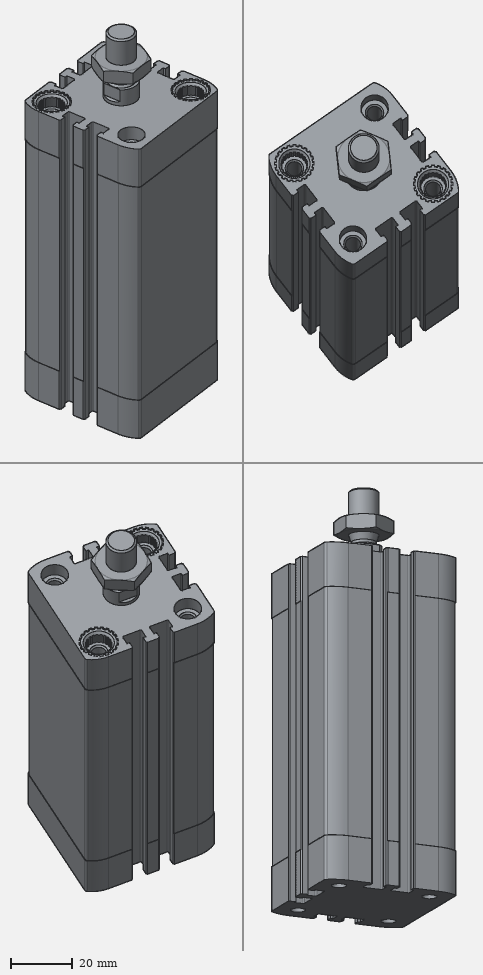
import cadquery as cq
import math

total_height = 139.6
housing_width = 47.0
housing_height = 114.3
half_width = housing_width / 2

cap_height = 15.1
barrel_inset = 0.1
cap_flat_half = 21.2
barrel_flat_half = 21.1
hole_offset = 16.2
cap_fillet = 1.1
barrel_fillet = 1.4

slot_offset = 4.9
slot_opening = 4.9
slot_inner_width = 6.8
slot_depth = 5.9
lip_depth = 2.5
lip_fillet = 0.4
floor_fillet = 0.4

through_diameter = 4.9
countersink_diameter = 6.0
recess_diameter = 9.0
recess_depth = 5.0

serration_count = 20
serration_angle = 180 / serration_count
rim_diameter = 12.8
rim_depth = 0.5
cone_top_diameter = 10.2
tooth_tip_diameter = 11.9
groove_bore_diameter = 8.7
ridge_bore_diameter = 8.2

collar_diameter = 12.0
collar_height = 6.3
wrench_flat_width = 10.0
flat_start = 1.7
flat_ledge_drop = 0.4
shoulder_diameter = 9.8
neck_diameter = 8.2
neck_start = 7.0
neck_end = 8.0
thread_diameter = 10.0
nut_start = 10.3
rod_length = total_height - housing_height
tip_diameter = 8.7
tip_height = 0.5

nut_sides = 6
nut_across_flats = 17.0
nut_height = 5.0
nut_chamfer_height = 0.4


def revolved(points):
    """Solid of revolution about Z from (radius, height) points."""
    return cq.Workplane("XZ").polyline(points).close().revolve(360, (0, 0, 0), (0, 1, 0))


def section_prism(side, y_flat, fillet, bottom, height):
    """Unslotted housing section: faces at distance side from the axis, shallow curved corners."""
    run = side - hole_offset
    drop = side - y_flat
    radius = (run ** 2 + drop ** 2) / (2 * drop)
    half_sweep = math.asin(run / radius) / 2
    x_mid = hole_offset + radius * math.sin(half_sweep)
    y_mid = side - radius * (1 - math.cos(half_sweep))
    prism = (
        cq.Workplane("XY")
        .workplane(offset=bottom)
        .moveTo(-hole_offset, -side)
        .lineTo(hole_offset, -side)
        .threePointArc((x_mid, -y_mid), (side, -y_flat))
        .lineTo(side, y_flat)
        .threePointArc((x_mid, y_mid), (hole_offset, side))
        .lineTo(-hole_offset, side)
        .threePointArc((-x_mid, y_mid), (-side, y_flat))
        .lineTo(-side, -y_flat)
        .threePointArc((-x_mid, -y_mid), (-hole_offset, -side))
        .close()
        .extrude(height)
    )
    return prism.edges("|Z").edges("<X or >X").fillet(fillet)


def cap(bottom):
    """End section of the housing, at full width."""
    return section_prism(half_width, cap_flat_half, cap_fillet, bottom, cap_height)


def slot_cutter():
    """T-slot open towards -Y, with rounded mouth edges, along the whole housing."""
    face = -half_width
    mouth_half = slot_opening / 2
    inner_half = slot_inner_width / 2
    lip_end = face + lip_depth
    floor = face + slot_depth
    return (
        cq.Workplane("XY")
        .moveTo(-mouth_half - lip_fillet, face)
        .radiusArc((-mouth_half, face + lip_fillet), lip_fillet)
        .lineTo(-mouth_half, lip_end)
        .lineTo(-inner_half, lip_end)
        .lineTo(-inner_half, floor - floor_fillet)
        .radiusArc((-inner_half + floor_fillet, floor), floor_fillet)
        .lineTo(inner_half - floor_fillet, floor)
        .radiusArc((inner_half, floor - floor_fillet), floor_fillet)
        .lineTo(inner_half, lip_end)
        .lineTo(mouth_half, lip_end)
        .lineTo(mouth_half, face + lip_fillet)
        .radiusArc((mouth_half + lip_fillet, face), lip_fillet)
        .close()
        .extrude(housing_height)
    )


def hole_cutter():
    """Through hole with a countersink in the floor of its recess, whose mouth is at height 0."""
    through_radius = through_diameter / 2
    sink_radius = countersink_diameter / 2
    sink_depth = sink_radius - through_radius
    return revolved([
        (0, 0),
        (sink_radius, 0),
        (sink_radius, -recess_depth),
        (through_radius, -recess_depth - sink_depth),
        (through_radius, -housing_height),
        (0, -housing_height),
    ])


def plain_recess():
    return cq.Workplane("XY").circle(recess_diameter / 2).extrude(-recess_depth)


def serration(inner_radius, outer_radius, top, bottom):
    """Slice of a ring, half a serration pitch wide, centred on the X axis."""
    section = cq.Workplane("XZ").polyline([
        (inner_radius, top),
        (outer_radius, top),
        (outer_radius, bottom),
        (inner_radius, bottom),
    ])
    sector = section.close().revolve(serration_angle, (0, 0, 0), (0, 1, 0))
    return sector.rotate((0, 0, 0), (0, 0, 1), -serration_angle / 2)


def serrated_recess():
    """Stepped recess with teeth left standing around its rim and grooves down its bore."""
    rim_radius = rim_diameter / 2
    cone_top_radius = cone_top_diameter / 2
    groove_radius = groove_bore_diameter / 2
    ridge_radius = ridge_bore_diameter / 2
    cone_end = -rim_depth - (cone_top_radius - ridge_radius)
    recess = revolved([
        (0, 0),
        (rim_radius, 0),
        (rim_radius, -rim_depth),
        (cone_top_radius, -rim_depth),
        (ridge_radius, cone_end),
        (ridge_radius, -recess_depth),
        (0, -recess_depth),
    ])
    tooth = serration(tooth_tip_diameter / 2, rim_radius, 0, -rim_depth)
    groove = serration(through_diameter / 2, groove_radius, -rim_depth, -recess_depth)
    for index in range(serration_count):
        groove_turn = index * 2 * serration_angle
        tooth_turn = groove_turn + serration_angle
        recess = recess.union(groove.rotate((0, 0, 0), (0, 0, 1), groove_turn))
        recess = recess.cut(tooth.rotate((0, 0, 0), (0, 0, 1), tooth_turn))
    return recess


def make_housing():
    barrel_half_width = half_width - barrel_inset
    barrel_height = housing_height - 2 * cap_height
    body = section_prism(barrel_half_width, barrel_flat_half, barrel_fillet, cap_height, barrel_height)
    body = body.union(cap(0)).union(cap(housing_height - cap_height))

    for face_angle in (0, 180, -90):
        for side in (-1, 1):
            slot = slot_cutter().translate((side * slot_offset, 0, 0))
            body = body.cut(slot.rotate((0, 0, 0), (0, 0, 1), face_angle))

    hole = hole_cutter()
    plain = plain_recess()
    serrated = serrated_recess()
    for x_side in (-1, 1):
        for y_side in (-1, 1):
            recess = serrated if x_side == y_side else plain
            place = (x_side * hole_offset, y_side * hole_offset, housing_height)
            body = body.cut(hole.translate(place)).cut(recess.translate(place))
    return body


def make_rod():
    """Threaded rod end standing on the housing, with a collar, two wrench flats and a neck."""
    rod = revolved([
        (0, 0),
        (collar_diameter / 2, 0),
        (collar_diameter / 2, collar_height),
        (shoulder_diameter / 2, collar_height),
        (neck_diameter / 2, neck_start),
        (neck_diameter / 2, neck_end),
        (thread_diameter / 2, nut_start),
        (thread_diameter / 2, rod_length - tip_height),
        (tip_diameter / 2, rod_length),
        (0, rod_length),
    ])
    collar_radius = collar_diameter / 2
    flat_distance = wrench_flat_width / 2
    flat = (
        cq.Workplane("YZ")
        .moveTo(flat_distance, flat_start)
        .lineTo(collar_radius, flat_start - flat_ledge_drop)
        .lineTo(collar_radius, collar_height)
        .lineTo(flat_distance, collar_height)
        .close()
        .extrude(collar_radius, both=True)
    )
    rod = rod.cut(flat).cut(flat.mirror("XZ"))
    return rod.translate((0, 0, housing_height))


def make_nut():
    """Hexagon nut with corners on the Y axis and both faces chamfered."""
    flat_radius = nut_across_flats / 2
    corner_radius = flat_radius / math.cos(math.pi / nut_sides)
    hexagon = (
        cq.Workplane("XY")
        .polygon(nut_sides, 2 * corner_radius)
        .extrude(nut_height)
        .rotate((0, 0, 0), (0, 0, 1), 180 / nut_sides)
    )
    envelope = revolved([
        (0, 0),
        (flat_radius, 0),
        (corner_radius, nut_chamfer_height),
        (corner_radius, nut_height - nut_chamfer_height),
        (flat_radius, nut_height),
        (0, nut_height),
    ])
    bore = cq.Workplane("XY").circle(thread_diameter / 2).extrude(nut_height)
    nut = hexagon.intersect(envelope).cut(bore)
    return nut.translate((0, 0, housing_height + nut_start))


housing = make_housing()
rod = make_rod()
nut = make_nut()

result = cq.Compound.makeCompound([housing.val(), rod.val(), nut.val()])